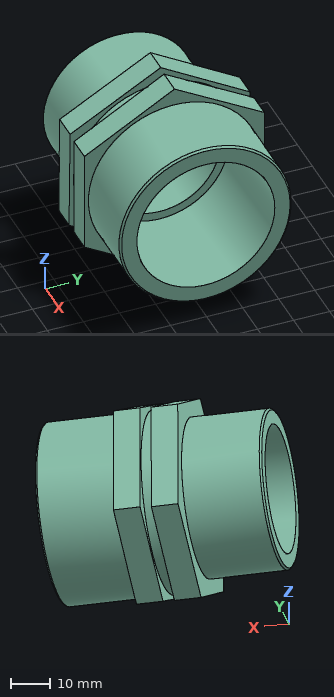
import cadquery as cq

total_length = 59.0
small_end_length = 21.0
nut_thickness = 7.0
nut_gap = 2.95
end_chamfer = 0.55

small_diameter = 41.9
small_bore = 33.5
large_diameter = 47.8
large_bore = 38.25

across_corners = 57.7
first_nut_turn = -0.6

first_nut_start = small_end_length
large_body_start = first_nut_start + nut_thickness
second_nut_start = large_body_start + nut_gap
large_body_length = total_length - large_body_start


def cylinder(start, length, diameter):
    """Solid cylinder along +X."""
    return cq.Workplane("YZ", origin=(start, 0, 0)).circle(diameter / 2).extrude(length)


def hex_nut(start, turn):
    """Solid hexagon along +X with a corner at the top before it is turned."""
    nut = cq.Workplane("YZ", origin=(start, 0, 0)).polygon(6, across_corners).extrude(nut_thickness)
    corner_up = 90
    return nut.rotate((0, 0, 0), (1, 0, 0), corner_up + turn)


small_body = cylinder(0, large_body_start, small_diameter).faces("<X").edges().chamfer(end_chamfer)
large_body = cylinder(large_body_start, large_body_length, large_diameter)
large_body = large_body.faces(">X").edges().chamfer(end_chamfer)

result = small_body.union(large_body)
result = result.union(hex_nut(first_nut_start, first_nut_turn))
result = result.union(hex_nut(second_nut_start, 0))

result = result.cut(cylinder(0, total_length, small_bore))
result = result.cut(cylinder(large_body_start, large_body_length, large_bore))